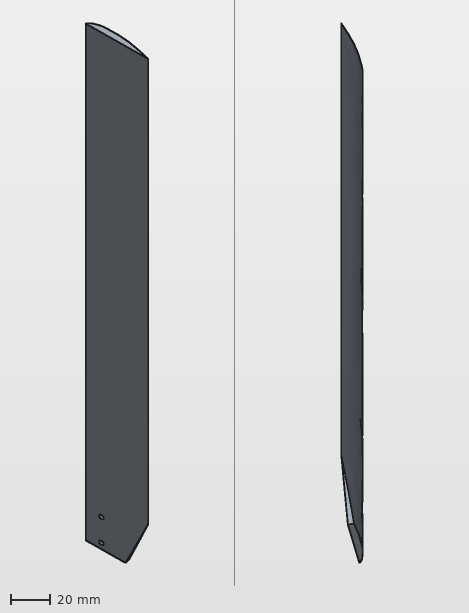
import cadquery as cq
import math

span = 400.0
chord = 40.0
thickness = 4.0
crest_x = 14.5
nose_point = (3.0, 2.5)
tail_point = (29.0, 2.6)

root_cut_height = 40.0
root_cut_angle = 20.0
hole_diameter = 3.0
hole_x = 10.0
hole_spacing = 20.0
lower_hole_height = hole_spacing / 4

blade = (
    cq.Workplane("XY")
    .spline(
        [(0, 0), nose_point, (crest_x, thickness), tail_point, (chord, 0)],
        tangents=[(1, 2), None, (1, 0), None, None],
    )
    .close()
    .extrude(span)
)

root_cut_width = root_cut_height * math.tan(math.radians(root_cut_angle))
root_cut = (
    cq.Workplane("XZ")
    .moveTo(chord - root_cut_width, 0)
    .lineTo(chord, root_cut_height)
    .lineTo(chord, 0)
    .close()
    .extrude(-thickness)
)

holes = (
    cq.Workplane("XZ")
    .pushPoints([(hole_x, lower_hole_height), (hole_x, lower_hole_height + hole_spacing)])
    .circle(hole_diameter / 2)
    .extrude(-thickness)
)

result = blade.cut(root_cut).cut(holes)